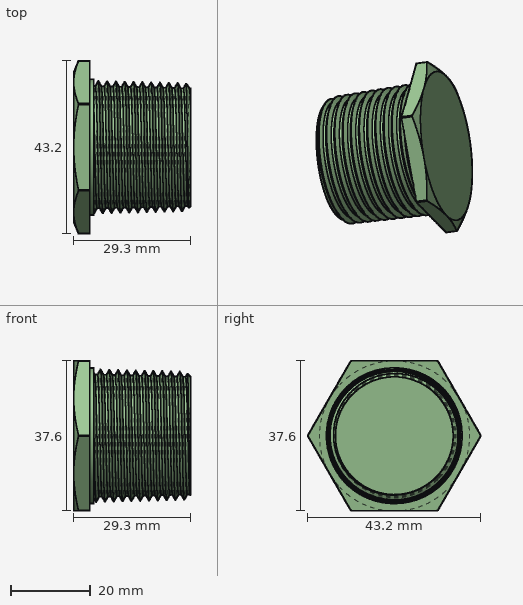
import cadquery as cq
import math

across_flats = 37.6
corner_diameter = 43.2
head_thickness = 4.0
head_bevel_depth = 1.15

collar_diameter = 34.0
collar_end = 5.0

total_length = 29.3
root_radius_at_collar = 15.35
root_radius_at_tip = 14.75
pitch = 2.2
thread_height = 1.3
flank_angle = 30.0
crest_at_top = 6.7
turns_past_tip = 11
turns_in_head = 2
root_overlap = 0.1

taper = (root_radius_at_collar - root_radius_at_tip) / (total_length - collar_end)


def root_radius(x):
    return root_radius_at_collar - taper * (x - collar_end)


def make_head():
    hexagon_diameter = across_flats / math.cos(math.radians(30))
    hexagon = cq.Workplane("YZ").polygon(6, hexagon_diameter).extrude(head_thickness)
    turned_blank = (
        cq.Workplane("XY")
        .moveTo(0, 0)
        .lineTo(0, across_flats / 2)
        .lineTo(head_bevel_depth, corner_diameter / 2)
        .lineTo(head_thickness, corner_diameter / 2)
        .lineTo(head_thickness, 0)
        .close()
        .revolve(360, (0, 0, 0), (1, 0, 0))
    )
    return hexagon.intersect(turned_blank)


def make_collar():
    return (
        cq.Workplane("YZ", origin=(head_thickness, 0, 0))
        .circle(collar_diameter / 2)
        .extrude(collar_end - head_thickness)
    )


def make_shank():
    return (
        cq.Workplane("XY")
        .moveTo(head_thickness, 0)
        .lineTo(head_thickness, root_radius(head_thickness))
        .lineTo(total_length, root_radius_at_tip)
        .lineTo(total_length, 0)
        .close()
        .revolve(360, (0, 0, 0), (1, 0, 0))
    )


def make_thread():
    """Sharp helical ridge, built from its widening outer end back into the head."""
    outer_x = crest_at_top + turns_past_tip * pitch
    length = (turns_past_tip + turns_in_head) * pitch
    taper_angle = math.degrees(math.atan(taper))
    base_radius = root_radius(outer_x) - root_overlap
    crest_radius = root_radius(outer_x) + thread_height
    half_base = (crest_radius - base_radius) * math.tan(math.radians(flank_angle))

    corners = [(-half_base, base_radius), (0, crest_radius), (half_base, base_radius)]
    helices = [
        cq.Wire.makeHelix(pitch, length, radius, cq.Vector(0, 0, offset), angle=taper_angle)
        for offset, radius in corners
    ]
    faces = []
    for index, helix in enumerate(helices):
        next_helix = helices[(index + 1) % len(helices)]
        faces += cq.Face.makeRuledSurface(helix, next_helix).Faces()
    for end in (0, 1):
        cap_corners = [helix.positionAt(end) for helix in helices]
        faces.append(cq.Face.makeFromWires(cq.Wire.makePolygon(cap_corners, close=True)))
    ridge = cq.Solid.makeSolid(cq.Shell.makeShell(faces))
    ridge = cq.Workplane(ridge.fix())
    return ridge.rotate((0, 0, 0), (0, 1, 0), -90).translate((outer_x, 0, 0))


def make_thread_envelope():
    """Turned blank with a 45 degree lead-in at the tip that trims the thread."""
    outer_radius = collar_diameter / 2
    lead_in = outer_radius - root_radius_at_tip
    return (
        cq.Workplane("XY")
        .moveTo(head_thickness, 0)
        .lineTo(head_thickness, outer_radius)
        .lineTo(total_length - lead_in, outer_radius)
        .lineTo(total_length, root_radius_at_tip)
        .lineTo(total_length, 0)
        .close()
        .revolve(360, (0, 0, 0), (1, 0, 0))
    )


thread = make_thread().intersect(make_thread_envelope())
result = make_shank().union(thread).union(make_collar()).union(make_head())